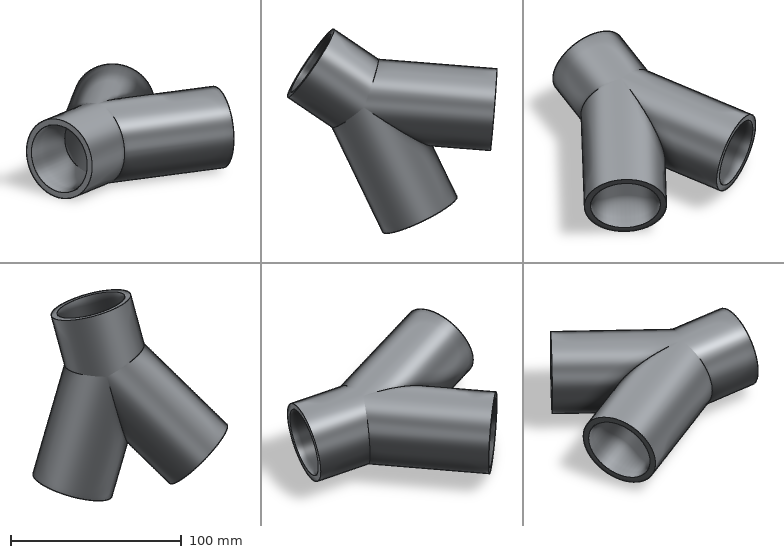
import cadquery as cq
import math

overall_width = 118.0
overall_length = 116.1
outer_diameter = 48.3
bore_diameter = 41.0
branch_angle = 30.0

sine = math.sin(math.radians(branch_angle))
cosine = math.cos(math.radians(branch_angle))
outer_radius = outer_diameter / 2
branch_length = (overall_width / 2 - outer_radius * cosine) / sine
trunk_length = overall_length - branch_length * cosine - outer_radius * sine


def elbow(diameter, side):
    """Solid round bar along the trunk, mitred into the branch on one side."""
    path = (
        cq.Workplane("XY")
        .moveTo(0, -trunk_length)
        .lineTo(0, 0)
        .lineTo(side * branch_length * sine, branch_length * cosine)
    )
    section = cq.Workplane("XZ", origin=(0, -trunk_length, 0)).circle(diameter / 2)
    return section.sweep(path, transition="right")


def wye(diameter):
    """Solid Y made of the left and right elbows sharing one trunk."""
    return elbow(diameter, -1).union(elbow(diameter, 1))


result = wye(outer_diameter).cut(wye(bore_diameter))